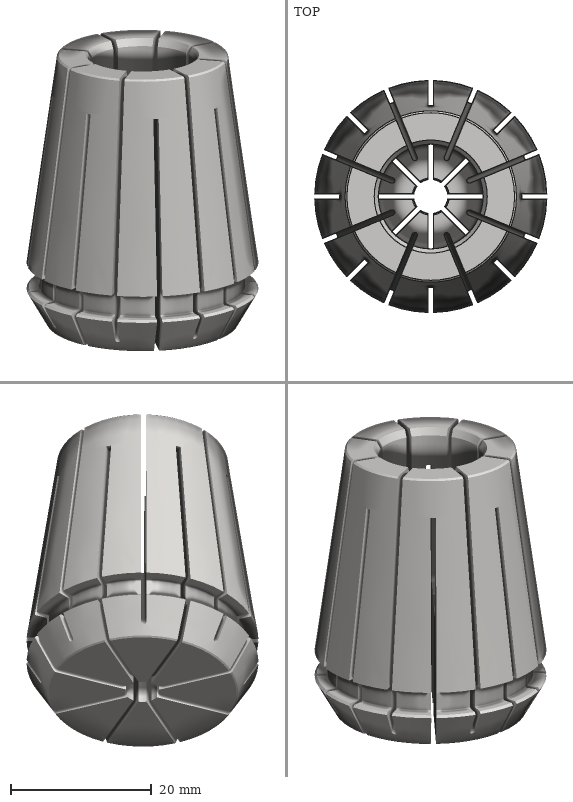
import cadquery as cq
import math

LENGTH = 40.0
MAX_RADIUS = 16.5
LONG_TAPER = 8.0
NOSE_TAPER = 30.0
TOP_CHAMFER = 0.25
RIM_CHAMFER = 0.3
NOSE_CHAMFER = 0.15

GROOVE_RADIUS = 14.6
GROOVE_BOTTOM_Z = 5.5
GROOVE_TOP_Z = 9.1
GROOVE_FILLET = 0.2
RIM_Z = GROOVE_BOTTOM_Z - RIM_CHAMFER

BORE_RADIUS = 7.45
BORE_CHAMFER = 0.6
BORE_CHAMFER_DEPTH = 1.05
BORE_FLOOR_Z = 16.8
BORE_FLOOR_FILLET = 0.8
GRIP_RADIUS = 2.45
GRIP_CHAMFER = 0.2

SLOT_COUNT = 8
SLOT_PITCH = 360.0 / SLOT_COUNT
SLOT_WIDTH = 0.75
NOSE_SLOT_END_Z = 34.4
TOP_SLOT_TIP_RADIUS = 6.0
TOP_SLOT_FLOOR_TILT = 60.0
CUT_MARGIN = 0.4

nose_slope = math.tan(math.radians(NOSE_TAPER))
long_slope = math.tan(math.radians(LONG_TAPER))
nose_radius = MAX_RADIUS - RIM_Z * nose_slope
top_radius = MAX_RADIUS - (LENGTH - GROOVE_TOP_Z) * long_slope
cutter_radius = MAX_RADIUS + CUT_MARGIN


def collet_body():
    """Revolve the half section: both cones, the groove and the stepped bore."""
    half_section = (
        cq.Workplane("XZ")
        .moveTo(GRIP_RADIUS, 0)
        .lineTo(nose_radius - NOSE_CHAMFER, 0)
        .lineTo(nose_radius + NOSE_CHAMFER * nose_slope, NOSE_CHAMFER)
        .lineTo(MAX_RADIUS, RIM_Z)
        .lineTo(MAX_RADIUS - RIM_CHAMFER, GROOVE_BOTTOM_Z)
        .lineTo(GROOVE_RADIUS + GROOVE_FILLET, GROOVE_BOTTOM_Z)
        .radiusArc((GROOVE_RADIUS, GROOVE_BOTTOM_Z + GROOVE_FILLET), GROOVE_FILLET)
        .lineTo(GROOVE_RADIUS, GROOVE_TOP_Z - GROOVE_FILLET)
        .radiusArc((GROOVE_RADIUS + GROOVE_FILLET, GROOVE_TOP_Z), GROOVE_FILLET)
        .lineTo(MAX_RADIUS, GROOVE_TOP_Z)
        .lineTo(top_radius + TOP_CHAMFER * long_slope, LENGTH - TOP_CHAMFER)
        .lineTo(top_radius - TOP_CHAMFER, LENGTH)
        .lineTo(BORE_RADIUS + BORE_CHAMFER, LENGTH)
        .lineTo(BORE_RADIUS, LENGTH - BORE_CHAMFER_DEPTH)
        .lineTo(BORE_RADIUS, BORE_FLOOR_Z + BORE_FLOOR_FILLET)
        .radiusArc((BORE_RADIUS - BORE_FLOOR_FILLET, BORE_FLOOR_Z), BORE_FLOOR_FILLET)
        .lineTo(GRIP_RADIUS + GRIP_CHAMFER, BORE_FLOOR_Z)
        .lineTo(GRIP_RADIUS, BORE_FLOOR_Z - GRIP_CHAMFER)
        .close()
    )
    return half_section.revolve(360, (0, 0, 0), (0, 1, 0))


def nose_slot(angle):
    """Radial blade from the nose up to NOSE_SLOT_END_Z, open into the bore and the gripping hole."""
    blade = cq.Workplane("XY").box(
        cutter_radius, SLOT_WIDTH, NOSE_SLOT_END_Z + CUT_MARGIN, centered=(False, True, False)
    )
    return blade.translate((0, 0, -CUT_MARGIN)).rotate((0, 0, 0), (0, 0, 1), angle)


def top_slot(angle):
    """Radial blade from the top down to a rounded floor that falls steeply towards the outside."""
    floor_drop = (cutter_radius - TOP_SLOT_TIP_RADIUS) * math.tan(math.radians(TOP_SLOT_FLOOR_TILT))
    outer_z = BORE_FLOOR_Z - floor_drop
    blade = (
        cq.Workplane("XZ")
        .moveTo(TOP_SLOT_TIP_RADIUS, BORE_FLOOR_Z)
        .lineTo(cutter_radius, outer_z)
        .lineTo(cutter_radius, LENGTH + CUT_MARGIN)
        .lineTo(TOP_SLOT_TIP_RADIUS, LENGTH + CUT_MARGIN)
        .close()
        .extrude(SLOT_WIDTH / 2, both=True)
    )
    floor_run = math.hypot(cutter_radius - TOP_SLOT_TIP_RADIUS, floor_drop) + SLOT_WIDTH
    floor_direction = cq.Vector(TOP_SLOT_TIP_RADIUS - cutter_radius, 0, floor_drop)
    rounded_floor = cq.Solid.makeCylinder(
        SLOT_WIDTH / 2, floor_run, cq.Vector(cutter_radius, 0, outer_z), floor_direction
    )
    return blade.union(cq.Workplane(rounded_floor)).rotate((0, 0, 0), (0, 0, 1), angle)


result = collet_body()
for index in range(SLOT_COUNT):
    result = result.cut(nose_slot(index * SLOT_PITCH))
    result = result.cut(top_slot((index + 0.5) * SLOT_PITCH))